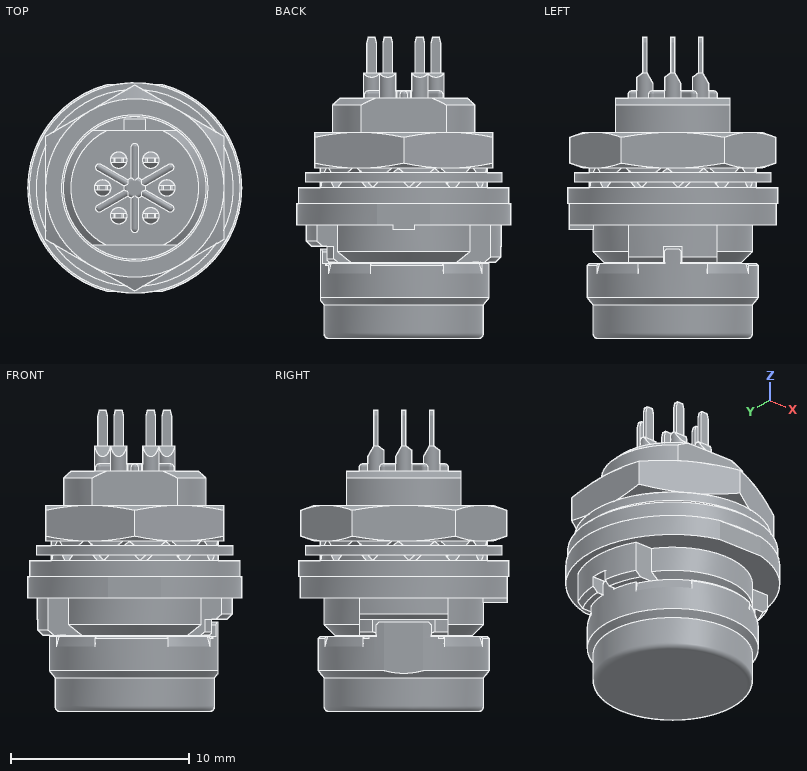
import cadquery as cq
import math

SLEEVE_R = 4.475
SLEEVE_TOP = 1.9
SLEEVE_EDGE = 0.3

RING_R = 4.8
RING_CONE_TOP = 2.3
RING_TOP = 4.23
RING_EDGE = 0.12
RING_FLAT_X = 4.675
RING_GROOVE_R = 4.12
RING_GROOVE_BOTTOM = 3.65
POCKET_BOTTOM = RING_GROOVE_BOTTOM
POCKET_DEPTH = 0.17
POCKET_SWEEP = 38.5
NARROW_TAB_TO_POCKET = 23.8
WIDE_TAB_TO_POCKET = 28.5

TAB_TOP = 5.03
TAB_INNER_R = 4.2
NARROW_TAB_WIDTH = 0.9
NARROW_TAB_EDGE = 0.1
WIDE_TAB_WIDTH = 3.1
WIDE_TAB_EDGE = 0.17

NECK_BOTTOM = 4.28
NECK_EDGE = 0.61
LUG_R = 5.47
LUG_WIDTH = 4.98
LUG_EDGE = 0.3
SLOT_TOP = 5.17
SLOT_FLOOR_X = 4.31
NARROW_SLOT_WIDTH = 1.02
WIDE_SLOT_WIDTH = 3.5
STEP_LUG_R = 4.65
STEP_LUG_EDGE = 0.2

FLANGE_BOTTOM = 6.36
FLANGE_STEP = 7.57
FLANGE_TOP = 8.47
FLANGE_R = 6.0
FLANGE_FLAT_Y = 5.81
FLANGE_UPPER_R = 5.9
KEY_WIDTH = 1.2
KEY_HEIGHT = 0.25

WASHER_R = 5.52
WASHER_BOTTOM = 8.77
WASHER_TOP = 9.31
TOOTH_COUNT = 12
TOOTH_R = 4.69
TOOTH_ROOT_WIDTH = 1.45
TOOTH_FLARE = 0.3

NUT_BOTTOM = 9.56
NUT_TOP = 11.57
NUT_FLATS = 10.0
NUT_CHAMFER_ANGLE = 20.0
NUT_BORE_R = 4.1
NUT_RECESS = 1.2

BODY_R = 4.0
BODY_TOP = 13.48
BODY_EDGE_RADIAL = 0.42
BODY_EDGE_HEIGHT = 0.38
BODY_FLAT_Y = 3.21
BODY_FLAT_DEPTH_IN_NUT = 1.0
BODY_FLAT_BOTTOM = NUT_TOP - BODY_FLAT_DEPTH_IN_NUT
KEYWAY_WIDTH = 1.21
KEYWAY_END_Y = 3.87
KEYWAY_DEPTH = 0.5

RIB_COUNT = 6
RIB_WIDTH = 0.4
RIB_REACH = 2.5
RIB_STRAIGHT = 0.22
RIB_HEIGHT = RIB_STRAIGHT + RIB_WIDTH / 2
HUB_R = 0.6
HUB_EDGE = 0.19

PIN_COUNT = 6
PIN_CIRCLE_R = 1.8
PIN_R = 0.46
PIN_SHOULDER = 14.9
PIN_FRONT_SLOPE_BOTTOM = 14.3
PIN_BACK_SLOPE_BOTTOM = 14.65
BLADE_WIDTH = 0.55
BLADE_THICKNESS = 0.25
BLADE_TOP = 16.9
BLADE_TIP_HEIGHT = 0.32
BLADE_TIP_INSET = 0.08

OVERLAP = 0.1
FAR = 20.0


def disc(radius, bottom, top):
    return cq.Workplane("XY").workplane(offset=bottom).circle(radius).extrude(top - bottom)


def block(x_min, x_max, y_min, y_max, z_min, z_max):
    size = (x_max - x_min, y_max - y_min, z_max - z_min)
    return cq.Workplane("XY").box(*size, centered=False).translate((x_min, y_min, z_min))


def strip(width, z_min, z_max):
    """Bar along X, centred on Y, far longer than the part."""
    return block(-FAR, FAR, -width / 2, width / 2, z_min, z_max)


def half_strip(side, x_inner, width, z_min, z_max):
    """The part of a strip beyond x_inner on the +X (side 1) or -X (side -1) side."""
    x_ends = sorted((side * x_inner, side * FAR))
    return block(*x_ends, -width / 2, width / 2, z_min, z_max)


def make_sleeve():
    sleeve = disc(SLEEVE_R, 0, SLEEVE_TOP + OVERLAP)
    return sleeve.faces("<Z").edges().fillet(SLEEVE_EDGE)


def pocket_cutter(start_angle):
    """Sloped outer pocket at the top of the ring, swept counterclockwise from start_angle."""
    profile = (
        cq.Workplane("XZ")
        .moveTo(RING_R, POCKET_BOTTOM)
        .lineTo(RING_R - POCKET_DEPTH, RING_TOP)
        .lineTo(RING_R + OVERLAP, RING_TOP)
        .lineTo(RING_R + OVERLAP, POCKET_BOTTOM)
        .close()
    )
    sector = profile.revolve(POCKET_SWEEP, (0, 0, 0), (0, 1, 0))
    return sector.rotate((0, 0, 0), (0, 0, 1), start_angle)


def make_ring():
    cone = (
        cq.Workplane("XY").workplane(offset=SLEEVE_TOP).circle(SLEEVE_R)
        .workplane(offset=RING_CONE_TOP - SLEEVE_TOP).circle(RING_R).loft()
    )
    ring = disc(RING_R, RING_CONE_TOP, RING_TOP)
    chamfered = ring.faces(">Z").edges().chamfer(RING_EDGE)
    side_width = 2 * RING_R * math.sin(math.radians(NARROW_TAB_TO_POCKET))
    sharp_sides = ring.intersect(strip(side_width, 0, FAR))
    ring = cone.union(chamfered).union(sharp_sides)
    for tab_angle, gap in ((0, WIDE_TAB_TO_POCKET), (180, NARROW_TAB_TO_POCKET)):
        ring = ring.cut(pocket_cutter(tab_angle + gap))
        ring = ring.cut(pocket_cutter(tab_angle - gap - POCKET_SWEEP))
    return ring.cut(disc(RING_GROOVE_R, RING_GROOVE_BOTTOM, RING_TOP))


def make_tab(side, width, edge):
    bar = half_strip(side, TAB_INNER_R, width, RING_TOP - OVERLAP, TAB_TOP)
    bar = bar.faces(">Z").edges("|X").chamfer(edge)
    return bar.intersect(disc(RING_R, 0, FAR))


def make_neck():
    neck = disc(SLEEVE_R, NECK_BOTTOM, FLANGE_BOTTOM)
    neck = neck.faces("<Z").edges().chamfer(NECK_EDGE)
    return neck.union(disc(SLEEVE_R - NECK_EDGE, RING_GROOVE_BOTTOM, NECK_BOTTOM))


def make_lug(side, radius, bottom, edge):
    drum = disc(radius, bottom, FLANGE_BOTTOM).faces("<Z").edges().chamfer(edge)
    return drum.intersect(half_strip(side, 0, LUG_WIDTH, 0, FAR))


def make_lugged_neck():
    """Neck with a deep lug on -X and a stepped lug on +X, each slotted for its tab."""
    narrow_slot = half_strip(-1, SLOT_FLOOR_X, NARROW_SLOT_WIDTH, NECK_BOTTOM, SLOT_TOP)
    wide_slot = half_strip(1, SLOT_FLOOR_X, WIDE_SLOT_WIDTH, NECK_BOTTOM, SLOT_TOP)
    deep_lug = make_lug(-1, LUG_R, NECK_BOTTOM, LUG_EDGE)
    short_lug = make_lug(1, LUG_R, SLOT_TOP, LUG_EDGE)
    step_lug = make_lug(1, STEP_LUG_R, NECK_BOTTOM, STEP_LUG_EDGE)
    lugged = make_neck().union(deep_lug).union(short_lug).union(step_lug)
    return lugged.cut(narrow_slot).cut(wide_slot)


def make_lower_half():
    lower = make_sleeve().union(make_ring())
    lower = lower.union(make_lugged_neck())
    lower = lower.union(make_tab(-1, NARROW_TAB_WIDTH, NARROW_TAB_EDGE))
    lower = lower.union(make_tab(1, WIDE_TAB_WIDTH, WIDE_TAB_EDGE))
    return lower.cut(block(RING_FLAT_X, FAR, -FAR, FAR, SLEEVE_TOP, TAB_TOP))


def make_flange():
    flange = disc(FLANGE_R, FLANGE_BOTTOM, FLANGE_STEP)
    flange = flange.intersect(block(-FAR, FAR, -FLANGE_FLAT_Y, FLANGE_FLAT_Y, 0, FAR))
    key = block(
        -KEY_WIDTH / 2, KEY_WIDTH / 2,
        SLEEVE_R - OVERLAP, FLANGE_FLAT_Y,
        FLANGE_BOTTOM - KEY_HEIGHT, FLANGE_BOTTOM,
    )
    return flange.union(disc(FLANGE_UPPER_R, FLANGE_STEP, FLANGE_TOP)).union(key)


def tooth_bar(side, root_z, tip_z):
    """Radial bar that starts on the X axis, runs to one side of it and flares towards tip_z."""
    root_end = side * TOOTH_ROOT_WIDTH
    flare = side * TOOTH_FLARE
    return (
        cq.Workplane("YZ")
        .moveTo(0, root_z)
        .lineTo(root_end, root_z)
        .lineTo(root_end + flare, tip_z)
        .lineTo(-flare, tip_z)
        .close()
        .extrude(FAR)
    )


def make_washer():
    """Flat ring whose teeth bend alternately up to the nut and down to the flange."""
    washer = disc(WASHER_R, WASHER_BOTTOM, WASHER_TOP)
    upper_bar = tooth_bar(1, WASHER_TOP, NUT_BOTTOM)
    lower_bar = tooth_bar(-1, WASHER_BOTTOM, FLANGE_TOP)
    teeth = upper_bar.union(lower_bar).intersect(disc(TOOTH_R, FLANGE_TOP, NUT_BOTTOM))
    for index in range(TOOTH_COUNT):
        washer = washer.union(teeth.rotate((0, 0, 0), (0, 0, 1), index * 360 / TOOTH_COUNT))
    return washer


def make_nut():
    corner_r = NUT_FLATS / math.sqrt(3)
    flat_r = NUT_FLATS / 2
    drop = (corner_r - flat_r) * math.tan(math.radians(NUT_CHAMFER_ANGLE))
    hexagon = (
        cq.Workplane("XY").workplane(offset=NUT_BOTTOM)
        .polygon(6, 2 * corner_r).extrude(NUT_TOP - NUT_BOTTOM)
        .rotate((0, 0, 0), (0, 0, 1), 90)
    )
    envelope = (
        cq.Workplane("XZ")
        .moveTo(0, NUT_BOTTOM)
        .lineTo(flat_r, NUT_BOTTOM)
        .lineTo(corner_r, NUT_BOTTOM + drop)
        .lineTo(corner_r, NUT_TOP - drop)
        .lineTo(flat_r, NUT_TOP)
        .lineTo(0, NUT_TOP)
        .close()
        .revolve(360, (0, 0, 0), (0, 1, 0))
    )
    recess = disc(NUT_BORE_R, NUT_TOP - NUT_RECESS, NUT_TOP)
    return hexagon.intersect(envelope).cut(recess)


def add_body(assembly):
    """Threaded stem with two wrench flats and a keyway behind the +Y flat."""
    body = disc(BODY_R, FLANGE_TOP, BODY_TOP)
    body = body.faces(">Z").edges().chamfer(BODY_EDGE_HEIGHT, BODY_EDGE_RADIAL)
    for y_min, y_max in ((BODY_FLAT_Y, FAR), (-FAR, -BODY_FLAT_Y)):
        body = body.cut(block(-FAR, FAR, y_min, y_max, BODY_FLAT_BOTTOM, FAR))
    keyway = block(
        -KEYWAY_WIDTH / 2, KEYWAY_WIDTH / 2,
        BODY_FLAT_Y, KEYWAY_END_Y,
        BODY_FLAT_BOTTOM - KEYWAY_DEPTH, BODY_FLAT_BOTTOM,
    )
    return assembly.union(body).cut(keyway)


def make_star():
    hub = disc(HUB_R, BODY_TOP - OVERLAP, BODY_TOP + RIB_HEIGHT)
    star = hub.faces(">Z").edges().fillet(HUB_EDGE)
    half = RIB_WIDTH / 2
    length = RIB_REACH - half
    bar = block(0, length, -half, half, BODY_TOP - OVERLAP, BODY_TOP + RIB_STRAIGHT)
    crown = (
        cq.Workplane("YZ").center(0, BODY_TOP + RIB_STRAIGHT).circle(half).extrude(length)
    )
    end_post = disc(half, BODY_TOP - OVERLAP, BODY_TOP + RIB_STRAIGHT)
    end_ball = cq.Workplane("XY").sphere(half).translate((0, 0, BODY_TOP + RIB_STRAIGHT))
    rib = bar.union(crown).union(end_post.union(end_ball).translate((length, 0, 0)))
    for index in range(RIB_COUNT):
        star = star.union(rib.rotate((0, 0, 0), (0, 0, 1), 90 + index * 360 / RIB_COUNT))
    return star


def make_pin():
    """Round post sloped on both Y sides up to a thin flat blade."""
    half_blade = BLADE_THICKNESS / 2
    side_profile = (
        cq.Workplane("YZ")
        .moveTo(-PIN_R, BODY_TOP - OVERLAP)
        .lineTo(-PIN_R, PIN_FRONT_SLOPE_BOTTOM)
        .lineTo(-half_blade, PIN_SHOULDER)
        .lineTo(half_blade, PIN_SHOULDER)
        .lineTo(PIN_R, PIN_BACK_SLOPE_BOTTOM)
        .lineTo(PIN_R, BODY_TOP - OVERLAP)
        .close()
        .extrude(PIN_R, both=True)
    )
    post = disc(PIN_R, BODY_TOP - OVERLAP, PIN_SHOULDER).intersect(side_profile)
    half_width = BLADE_WIDTH / 2
    blade = block(
        -half_width, half_width, -half_blade, half_blade,
        PIN_SHOULDER - OVERLAP, BLADE_TOP,
    )
    blade = blade.faces(">Z").edges("|Y").chamfer(BLADE_TIP_HEIGHT, BLADE_TIP_INSET)
    return post.union(blade)


def add_pins(assembly):
    pin = make_pin()
    for index in range(PIN_COUNT):
        angle = 2 * math.pi * index / PIN_COUNT
        place = (PIN_CIRCLE_R * math.cos(angle), PIN_CIRCLE_R * math.sin(angle), 0)
        assembly = assembly.union(pin.translate(place))
    return assembly


connector = make_lower_half().union(make_flange()).union(make_washer()).union(make_nut())
connector = add_body(connector).union(make_star())
result = add_pins(connector)